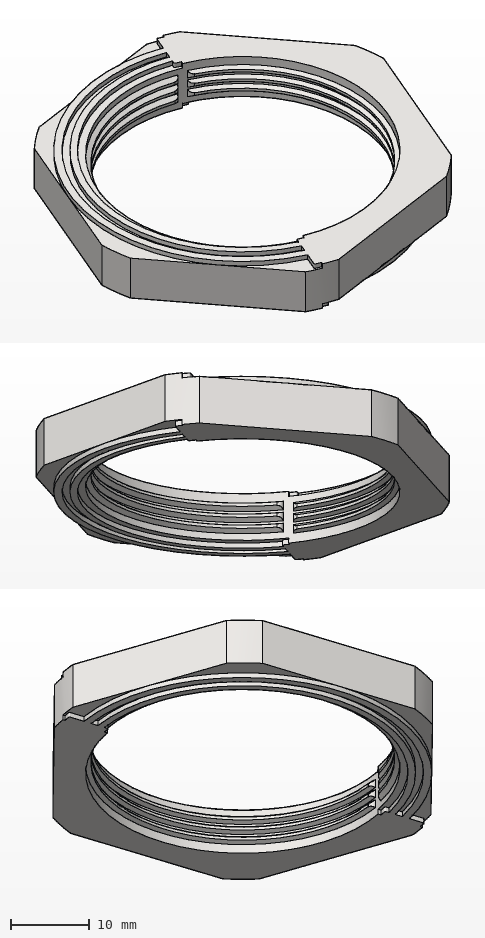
import cadquery as cq
import math

corner_radius = 26.5
flat_distance = 24.0
height = 7.0

bore_radius = 39.9 / 2
crest_radius = 19.3
thread_pitch = 1.5
thread_rings = 3
lowest_ring_top = 2.75
upper_flank_height = 0.25
crest_height = 0.4
lower_flank_height = 0.5
thread_end_gap = 0.7
thread_depth = bore_radius - crest_radius

recess_depth = 0.7
recess_start = 1.0
inner_rib = (21.0, 21.95)
outer_rib = (22.95, 24.0)

bore_relief_width = 0.4
corner_relief_width = 0.3
shoulder_round = 0.185

ring_embed = 0.2

overrun = 2.65


def ring(inner, outer, depth):
    return cq.Workplane("XY").circle(outer).circle(inner).extrude(depth)


def block(x_min, x_max, y_min, y_max, depth):
    corner_origin = cq.Workplane("XY").box(x_max - x_min, y_max - y_min, depth, centered=False)
    return corner_origin.translate((x_min, y_min, 0))


def turn_over(shape):
    """Half turn about the part's X axis, exchanging the two faces and the two halves."""
    return shape.rotate((0, 0, height / 2), (1, 0, height / 2), 180)


def nut_blank():
    across_corners = 2 * flat_distance / math.cos(math.radians(30))
    hexagon = cq.Workplane("XY").polygon(6, across_corners).extrude(height)
    rounded = cq.Workplane("XY").circle(corner_radius).extrude(height)
    bore = cq.Workplane("XY").circle(bore_radius).extrude(height)
    return hexagon.intersect(rounded).cut(bore)


def shoulder_land(side):
    """Strip left standing between the centre line and the recess, with rounded free corners."""
    x_inner = bore_radius + bore_relief_width
    x_outer = corner_radius - corner_relief_width
    land = block(x_inner, x_outer, -recess_start, 0, recess_depth)
    land = land.edges("|Z and <Y").fillet(shoulder_round)
    return land if side > 0 else land.mirror("YZ")


def face_recess():
    """Material removed from the top face on the -Y half."""
    reach = corner_radius + overrun
    recess = block(-reach, reach, -reach, 0, recess_depth)
    for inner, outer in (inner_rib, outer_rib):
        recess = recess.cut(ring(inner, outer, recess_depth))
    for side in (1, -1):
        recess = recess.cut(shoulder_land(side))
    return recess.translate((0, 0, height - recess_depth))


def thread_end_trim(side):
    """Clears the bore near the centre line and rounds the thread ends in plan."""
    round_start = thread_end_gap + thread_depth
    trim = block(crest_radius - overrun, bore_radius, 0, round_start, height)
    rounding = cq.Workplane("XY").center(bore_radius, round_start).circle(thread_depth).extrude(height)
    trim = trim.cut(rounding)
    return trim if side > 0 else trim.mirror("YZ")


def half_thread():
    """Thread rings on the +Y half of the bore."""
    root_radius = bore_radius + ring_embed
    threads = cq.Workplane("XY")
    for index in range(thread_rings):
        top = lowest_ring_top + index * thread_pitch
        crest_top = top - upper_flank_height
        crest_bottom = crest_top - crest_height
        bottom = crest_bottom - lower_flank_height
        profile = [
            (root_radius, bottom),
            (bore_radius, bottom),
            (crest_radius, crest_bottom),
            (crest_radius, crest_top),
            (bore_radius, top),
            (root_radius, top),
        ]
        tooth = cq.Workplane("XZ").polyline(profile).close().revolve(360, (0, 0, 0), (0, 1, 0))
        threads = threads.add(tooth)
    reach = corner_radius + overrun
    threads = threads.combine().intersect(block(-reach, reach, thread_end_gap, reach, height))
    for side in (1, -1):
        threads = threads.cut(thread_end_trim(side))
    return threads


recess = face_recess()
thread = half_thread()
result = nut_blank().cut(recess).cut(turn_over(recess))
result = result.union(thread).union(turn_over(thread))